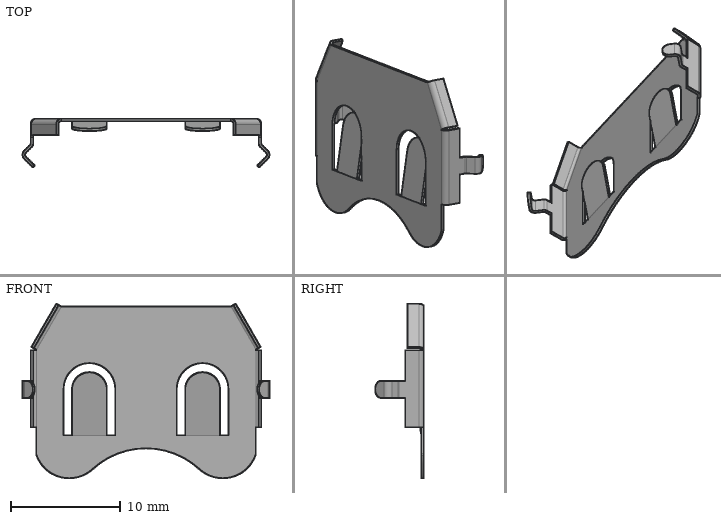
import cadquery as cq
import math


thickness = 0.25
bend_radius = 0.25
outer_radius = bend_radius + thickness
overall_width = 22.57
overall_depth = 4.47

plate_half_width = 10.05
plate_top = 15.7
shoulder_height = 11.75
shoulder_lean = 30.0
lobe_radius = 3.18
lobe_x = 7.02
lobe_blend_radius = 0.5
scoop_top = 2.73

window_x = 5.17
window_bottom = 3.95
window_width = 4.7
window_height = 6.57
tongue_width = 3.2
tongue_length = 5.8
tongue_tilt = 9.0

corner_flange_depth = 1.51
side_flange_depth = 1.72
side_flange_bottom = 4.65
side_flange_height = 7.06

arm_width = 1.58
arm_centre_height = 8.13
arm_bend_start = 2.28
arm_bend_angle = 45.0
arm_bend_radius = 0.15
arm_hook_radius = 0.27
arm_tip_round = 0.49 * arm_width


def straight(length):
    return length, 0.0, 0.0


def bend(angle, inside_radius):
    """Bend by an angle in degrees, positive to the left."""
    return 0.0, angle, inside_radius


def bent_strip(steps, height, base, lean=0.0):
    """Strip of sheet that starts at a left plate edge and runs outward through the steps.

    The section is extruded by height along the edge, which leans from vertical toward +X.
    """
    x, y, heading = 0.0, -thickness / 2, math.pi

    def face_points():
        """Points of the left and right face beside the current centre-line point."""
        dx = -math.sin(heading) * thickness / 2
        dy = math.cos(heading) * thickness / 2
        return (x + dx, y + dy), (x - dx, y - dy)

    left_face = []
    right_face = []
    for length, angle, inside_radius in steps:
        half_turn = math.radians(angle) / 2
        half_step = length / 2 + 2 * (inside_radius + thickness / 2) * math.sin(abs(half_turn) / 2)
        stations = [face_points()]
        for _ in range(2):
            x += half_step * math.cos(heading + half_turn / 2)
            y += half_step * math.sin(heading + half_turn / 2)
            heading += half_turn
            stations.append(face_points())
        left_points, right_points = zip(*stations)
        left_face.append(left_points)
        right_face.append(right_points[::-1])

    lean_rad = math.radians(lean)
    plane = cq.Plane(
        origin=base,
        xDir=(math.cos(lean_rad), 0, -math.sin(lean_rad)),
        normal=(math.sin(lean_rad), 0, math.cos(lean_rad)),
    )
    section = cq.Workplane(plane).moveTo(*left_face[0][0])
    section = trace_face(section, left_face, steps)
    section = section.lineTo(*right_face[-1][0])
    section = trace_face(section, right_face[::-1], steps[::-1])
    return section.close().extrude(height)


def trace_face(section, pieces, steps):
    """Draw one face of a strip, with an arc for each bend and a line for each straight."""
    for (_, middle, end), (_, angle, _) in zip(pieces, steps):
        if angle:
            section = section.threePointArc(middle, end)
        else:
            section = section.lineTo(*end)
    return section


def plate():
    """Flat plate with sloped top corners, two round lobes and a scoop between them below."""
    shoulder_inset = (plate_top - shoulder_height) * math.tan(math.radians(shoulder_lean))
    top_half_width = plate_half_width - shoulder_inset
    lobe_z = lobe_radius
    lobe_side_dx = plate_half_width - lobe_x
    lobe_side_z = lobe_z - math.sqrt(lobe_radius**2 - lobe_side_dx**2)

    rise = scoop_top - lobe_z
    scoop_radius = (lobe_x**2 + rise**2 - lobe_radius**2) / (2 * (lobe_radius + rise))
    scoop_z = scoop_top - scoop_radius
    share = lobe_radius / (lobe_radius + scoop_radius)
    tangent_x = lobe_x * (1 - share)
    tangent_z = lobe_z + (scoop_z - lobe_z) * share

    blank = (
        cq.Workplane("XZ")
        .moveTo(-top_half_width, plate_top)
        .lineTo(top_half_width, plate_top)
        .lineTo(plate_half_width, shoulder_height)
        .lineTo(plate_half_width, lobe_side_z)
        .threePointArc((lobe_x, 0), (tangent_x, tangent_z))
        .threePointArc((0, scoop_top), (-tangent_x, tangent_z))
        .threePointArc((-lobe_x, 0), (-plate_half_width, lobe_side_z))
        .lineTo(-plate_half_width, shoulder_height)
        .close()
        .extrude(thickness)
    )
    lobe_corners = blank.edges("|Y").edges(
        cq.selectors.BoxSelector(
            (-overall_width, -overall_depth, lobe_side_z - thickness),
            (overall_width, overall_depth, lobe_side_z + thickness),
        )
    )
    return lobe_corners.fillet(lobe_blend_radius)


def arch(plane, width, bottom, top, depth):
    """Solid on the plane with straight sides and a half-round top."""
    radius = width / 2
    return (
        cq.Workplane(plane)
        .moveTo(-radius, bottom)
        .lineTo(radius, bottom)
        .lineTo(radius, top - radius)
        .threePointArc((0, top), (-radius, top - radius))
        .close()
        .extrude(depth)
    )


def window():
    """Cutter for one arched window."""
    plane = cq.Plane(origin=(-window_x, 0, window_bottom), xDir=(1, 0, 0), normal=(0, -1, 0))
    return arch(plane, window_width, 0, window_height, thickness)


def tongue():
    """Contact tongue tilted forward from the window's bottom edge, trimmed flush with that edge."""
    tilt = math.radians(tongue_tilt)
    hinge = cq.Plane(
        origin=(-window_x, -thickness, window_bottom),
        xDir=(1, 0, 0),
        normal=(0, -math.cos(tilt), -math.sin(tilt)),
    )
    trim = cq.Workplane("XY", origin=(-window_x, 0, window_bottom)).box(
        window_width, overall_depth, window_height, centered=(True, True, False)
    )
    root = -thickness
    return arch(hinge, tongue_width, root, tongue_length, -thickness).intersect(trim)


def corner_flange():
    """Flange along the sloped top corner."""
    lean_rad = math.radians(shoulder_lean)
    edge_length = (plate_top - shoulder_height) / math.cos(lean_rad)
    steps = [bend(90, bend_radius), straight(corner_flange_depth - outer_radius)]
    return bent_strip(steps, edge_length, (-plate_half_width, 0, shoulder_height), shoulder_lean)


def side_flange():
    """Flange along the vertical side."""
    steps = [bend(90, bend_radius), straight(side_flange_depth - outer_radius)]
    return bent_strip(steps, side_flange_height, (-plate_half_width, 0, side_flange_bottom))


def spring_arm():
    """Arm that bows outward to the overall width and hooks back in, with a rounded tip."""
    angle_rad = math.radians(arm_bend_angle)
    sine = math.sin(angle_rad)
    hook_outer_radius = arm_hook_radius + thickness
    bulge = 1 - math.cos(angle_rad)
    reach = overall_width / 2 - plate_half_width - outer_radius
    outward_run = (reach - (arm_bend_radius + hook_outer_radius) * bulge) / sine
    bends_depth = (arm_bend_radius + 2 * hook_outer_radius) * sine
    outward_depth = outward_run * math.cos(angle_rad)
    tip_depth = overall_depth - arm_bend_start - bends_depth - outward_depth
    steps = [
        bend(90, bend_radius),
        straight(arm_bend_start - outer_radius),
        bend(-arm_bend_angle, arm_bend_radius),
        straight(outward_run),
        bend(2 * arm_bend_angle, arm_hook_radius),
        straight(tip_depth / math.cos(angle_rad)),
    ]
    arm_bottom = arm_centre_height - arm_width / 2
    arm = bent_strip(steps, arm_width, (-plate_half_width, 0, arm_bottom))
    tip_edges = cq.selectors.ParallelDirSelector(cq.Vector(sine, math.cos(angle_rad), 0))
    return arm.edges(tip_edges).edges("<Y").fillet(arm_tip_round)


left_bends = corner_flange().union(side_flange()).union(spring_arm())
result = plate().union(left_bends).union(left_bends.mirror("YZ"))
result = result.cut(window()).cut(window().mirror("YZ"))
result = result.union(tongue()).union(tongue().mirror("YZ"))